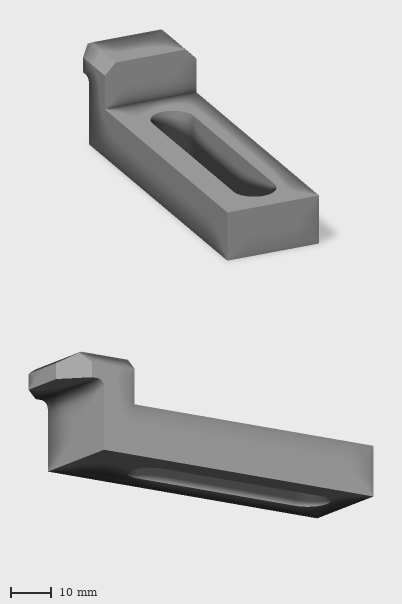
import cadquery as cq
import math

length = 90.0
width = 25.0
height = 25.0

heel_x = 10.0
step_x = 19.1
body_height = 13.0
nose_underside = 18.0
fillet_radius = 2.0

bevel_drop = 3.0
nose_bevel_run = bevel_drop / math.tan(math.radians(30))
corner_cut = 6.4

slot_start = 26.5
slot_end = 84.4
slot_width = 11.2


def make_body():
    """Extrude the stepped clamp profile, centred on Y = 0."""
    profile = (
        cq.Workplane("XZ")
        .moveTo(heel_x, 0)
        .lineTo(length, 0)
        .lineTo(length, body_height)
        .lineTo(step_x, body_height)
        .lineTo(step_x, height)
        .lineTo(nose_bevel_run, height)
        .lineTo(0, height - bevel_drop)
        .lineTo(0, nose_underside)
        .lineTo(heel_x - fillet_radius, nose_underside)
        .radiusArc((heel_x, nose_underside - fillet_radius), fillet_radius)
        .close()
    )
    return profile.extrude(width / 2, both=True)


def make_side_envelope():
    """Full-length prism with 45 degree bevels along both upper edges."""
    block = cq.Workplane("XY").box(length, width, height, centered=(False, True, False))
    return block.edges("|X and >Z").chamfer(bevel_drop)


def make_plan_envelope():
    """Full-height prism with the two vertical nose corners cut at 45 degrees."""
    block = cq.Workplane("XY").box(length, width, height, centered=(False, True, False))
    return block.edges("|Z and <X").chamfer(corner_cut)


def make_slot():
    """Round-ended cutter passing through the body."""
    return (
        cq.Workplane("XY")
        .center((slot_start + slot_end) / 2, 0)
        .slot2D(slot_end - slot_start, slot_width)
        .extrude(height)
    )


result = (
    make_body()
    .intersect(make_side_envelope())
    .intersect(make_plan_envelope())
    .cut(make_slot())
)